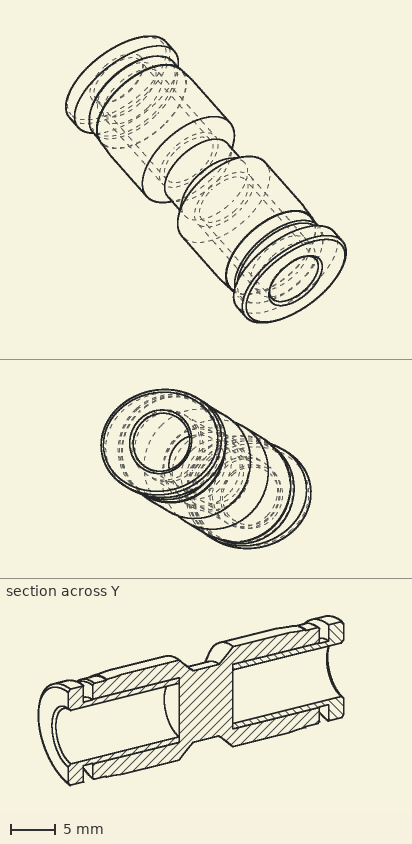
import cadquery as cq

LENGTH = 35.4
HALF_LENGTH = LENGTH / 2

FLANGE_WIDTH = 14.0
FLANGE_HEIGHT = 11.9
FLANGE_THICKNESS = 2.0
FLANGE_CHAMFER_DEPTH = 0.25
FLANGE_CHAMFER_WIDTH = 0.35
SLEEVE_DIAMETER = 7.9
BORE_DIAMETER = 6.55
BORE_CHAMFER = 0.32

COLLAR_DIAMETER = 11.9
SHOULDER_DIAMETER = 12.07
BODY_DIAMETER = 12.4
WAIST_DIAMETER = 8.9
COLLAR_CHAMFER = 0.2

COLLAR_END = 14.6
SHOULDER_START = 12.78
BODY_END = 10.73
BODY_START = 3.47
WAIST_END = 1.65
SOCKET_FLOOR = BODY_START

SOCKET_DEPTH = COLLAR_END - SOCKET_FLOOR
SLEEVE_LENGTH = HALF_LENGTH - SOCKET_FLOOR


def mirrored(workplane):
    """Copy a body to the opposite end of the connector."""
    return workplane.mirror("YZ")


def make_housing():
    """Turned housing with a narrow waist and a blind socket in each end."""
    collar_radius = COLLAR_DIAMETER / 2
    waist_radius = WAIST_DIAMETER / 2
    body_radius = BODY_DIAMETER / 2
    half = (
        cq.Workplane("XY")
        .moveTo(0, 0)
        .lineTo(0, waist_radius)
        .lineTo(-WAIST_END, waist_radius)
        .lineTo(-BODY_START, body_radius)
        .lineTo(-BODY_END, body_radius)
        .lineTo(-SHOULDER_START, SHOULDER_DIAMETER / 2)
        .lineTo(-SHOULDER_START, collar_radius)
        .lineTo(-COLLAR_END + COLLAR_CHAMFER, collar_radius)
        .lineTo(-COLLAR_END, collar_radius - COLLAR_CHAMFER)
        .lineTo(-COLLAR_END, 0)
        .close()
        .revolve(360, (0, 0, 0), (1, 0, 0))
    )
    socket = (
        cq.Workplane("YZ", origin=(-COLLAR_END, 0, 0))
        .circle(SLEEVE_DIAMETER / 2)
        .extrude(SOCKET_DEPTH)
    )
    half = half.cut(socket)
    return half.union(mirrored(half))


def make_sleeve():
    """Release sleeve at the -X end: oval flange, tube and chamfered bore."""
    outer_face = cq.Workplane("YZ", origin=(-HALF_LENGTH, 0, 0))
    flange = (
        outer_face.ellipse(FLANGE_WIDTH / 2, FLANGE_HEIGHT / 2)
        .extrude(FLANGE_THICKNESS)
        .faces("<X")
        .chamfer(FLANGE_CHAMFER_DEPTH, FLANGE_CHAMFER_WIDTH)
    )
    tube = outer_face.circle(SLEEVE_DIAMETER / 2).extrude(SLEEVE_LENGTH)
    bore = outer_face.circle(BORE_DIAMETER / 2).extrude(SLEEVE_LENGTH)
    sleeve = flange.union(tube).cut(bore)
    bore_mouth = sleeve.faces("<X").edges(cq.selectors.RadiusNthSelector(0))
    return bore_mouth.chamfer(BORE_CHAMFER)


housing = make_housing()
left_sleeve = make_sleeve()
sleeves = [left_sleeve, mirrored(left_sleeve)]

result = cq.Compound.makeCompound([housing.val(), *(sleeve.val() for sleeve in sleeves)])